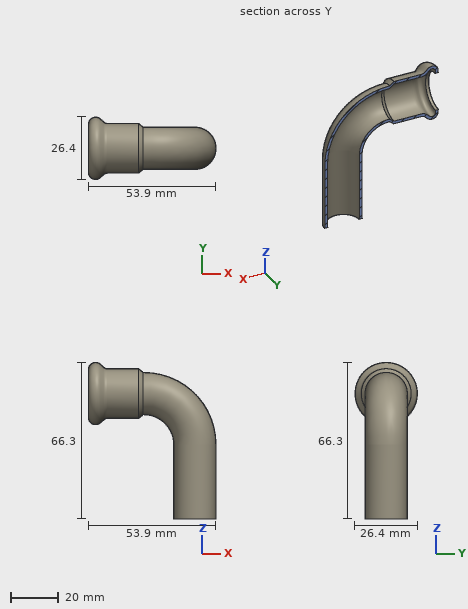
import cadquery as cq
import math

length_x = 53.9
height = 66.25
wall = 1.5
bead_radius = 13.2
pipe_radius = 8.95
bend_radius = 21.5

axis_z = height - bead_radius
leg_x = length_x - pipe_radius
leg_height = axis_z - bend_radius
bend_start_x = leg_x - bend_radius

body_radius = 10.55
bead_round = 3.05
bead_flank_angle = 45
neck_round = 2.1
neck_end_x = 7.95
shoulder_start_x = 21.2
shoulder_end_x = 23.1

mouth_radius = body_radius - wall
bead_center = (bead_round, bead_radius - bead_round)
neck_center = (neck_end_x, body_radius + neck_round)


def arc_point(center, radius, degrees):
    """Point on an arc in the (axial, radial) half plane."""
    angle = math.radians(degrees)
    return center[0] + radius * math.cos(angle), center[1] + radius * math.sin(angle)


def add_socket_wall(profile, inset):
    """Continue a profile from the bead to the bend, inset from the outer surface."""
    bead_arc = bead_round - inset
    neck_arc = neck_round + inset
    flank_start = 90 - bead_flank_angle
    bead_middle = (180 + flank_start) / 2
    neck_start = -90 - bead_flank_angle
    neck_middle = (neck_start - 90) / 2
    return (
        profile
        .lineTo(*arc_point(bead_center, bead_arc, 180))
        .threePointArc(
            arc_point(bead_center, bead_arc, bead_middle),
            arc_point(bead_center, bead_arc, flank_start),
        )
        .lineTo(*arc_point(neck_center, neck_arc, neck_start))
        .threePointArc(
            arc_point(neck_center, neck_arc, neck_middle),
            arc_point(neck_center, neck_arc, -90),
        )
        .lineTo(shoulder_start_x, body_radius - inset)
        .lineTo(shoulder_end_x, pipe_radius - inset)
        .lineTo(bend_start_x, pipe_radius - inset)
        .lineTo(bend_start_x, 0)
    )


def revolve_about_socket_axis(profile):
    return profile.close().revolve(360, (0, 0, 0), (1, 0, 0)).translate((0, 0, axis_z))


def socket_outside():
    profile = cq.Workplane("XZ").moveTo(0, 0)
    return revolve_about_socket_axis(add_socket_wall(profile, 0))


def socket_inside():
    """Bore of the socket, with a seal groove behind the mouth lip."""
    profile = cq.Workplane("XZ").moveTo(0, 0).lineTo(0, mouth_radius).lineTo(wall, mouth_radius)
    return revolve_about_socket_axis(add_socket_wall(profile, wall))


def bend_and_leg(radius):
    leg = cq.Workplane("XY").center(leg_x, 0).circle(radius).extrude(leg_height)
    bend = (
        cq.Workplane("XY", origin=(leg_x, 0, leg_height))
        .circle(radius)
        .revolve(90, (-bend_radius, 0, 0), (-bend_radius, -1, 0))
    )
    return leg.union(bend)


outside = socket_outside().union(bend_and_leg(pipe_radius))
inside = socket_inside().union(bend_and_leg(pipe_radius - wall))
result = outside.cut(inside)